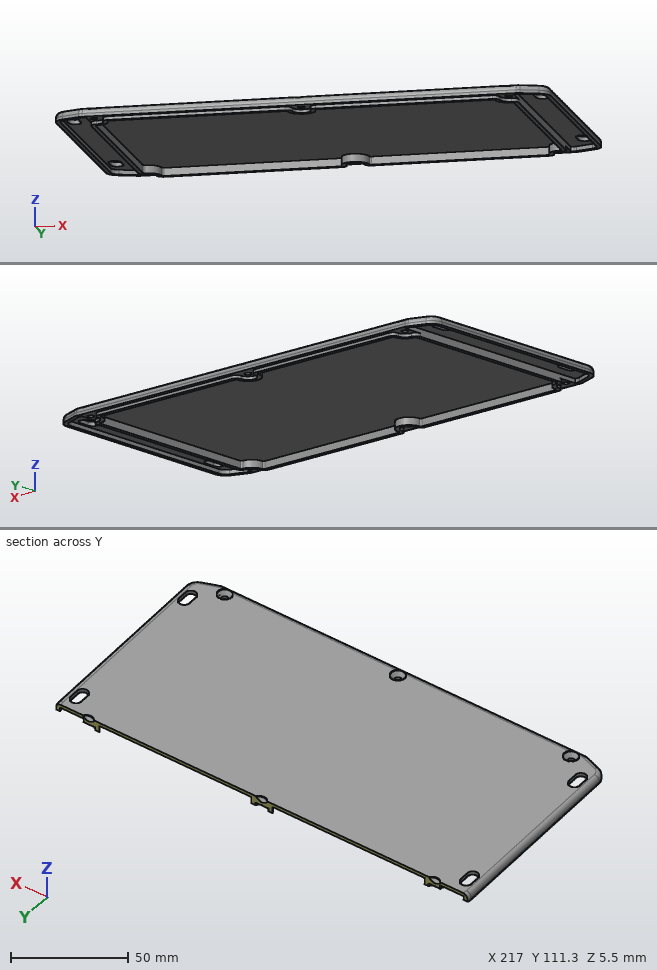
import cadquery as cq
import math

LENGTH = 217.0
WIDTH = 111.25
LIP_DROP = 1.5
RIM_HEIGHT = 4.0
TOTAL_HEIGHT = LIP_DROP + RIM_HEIGHT

SKIN_THICKNESS = 2.0
WALL_THICKNESS = 2.0
CAVITY_TOP = TOTAL_HEIGHT - SKIN_THICKNESS

LONG_EDGE_END_X = 96.0
SLANT_ANGLE = 20.0
END_BLEND_RADIUS = 6.0
LONG_EDGE_BLEND_RADIUS = 5.0
TOP_EDGE_RADIUS = 2.5

LIP_HALF_WIDTH = WIDTH / 2 - WALL_THICKNESS
FLARE_RADIUS = 2.75
NOTCH_RADIUS = 4.0
NOTCH_REACH = NOTCH_RADIUS + FLARE_RADIUS

SCREW_X = 91.0
SCREW_Y = LIP_HALF_WIDTH - FLARE_RADIUS
SCREW_HOLE_DIAMETER = 3.0
COUNTERSINK_DIAMETER = 7.0
COUNTERSINK_ANGLE = 90.0
HEAD_RECESS_DEPTH = 0.5

LIP_HALF_LENGTH = SCREW_X + FLARE_RADIUS

SLOT_X = 102.5
SLOT_Y = 39.65
SLOT_LENGTH = 10.25
SLOT_WIDTH = 5.5


def plate_prism(inset, bottom, top):
    """Extrude the plate outline, moved inwards by the inset, between two heights."""
    half_length = LENGTH / 2
    half_width = WIDTH / 2
    slant_drop = (half_length - LONG_EDGE_END_X) * math.tan(math.radians(SLANT_ANGLE))
    end_edge_y = half_width - slant_drop
    outline = [
        (LONG_EDGE_END_X, half_width),
        (half_length, end_edge_y),
        (half_length, -end_edge_y),
        (LONG_EDGE_END_X, -half_width),
        (-LONG_EDGE_END_X, -half_width),
        (-half_length, -end_edge_y),
        (-half_length, end_edge_y),
        (-LONG_EDGE_END_X, half_width),
    ]
    blank = cq.Workplane("XY").polyline(outline).close().extrude(top - bottom)
    blank = blank.edges("|Z").edges("<X or >X").fillet(END_BLEND_RADIUS)
    blank = blank.edges("|Z").edges("<Y or >Y").fillet(LONG_EDGE_BLEND_RADIUS)
    return extrude_inset(blank, inset, bottom, top)


def extrude_inset(prism, inset, bottom, top):
    """Extrude the outline of a prism standing on Z = 0, inset, between two heights."""
    outline = prism.faces("<Z").wires().val()
    if inset > 0:
        outline = outline.offset2D(-inset)[0]
    height = cq.Vector(0, 0, top - bottom)
    solid = cq.Solid.extrudeLinear(outline, [], height)
    return cq.Workplane("XY").add(solid.translate(cq.Vector(0, 0, bottom)))


def make_plate():
    """Build the full-thickness plate with its rounded top edge."""
    plate = plate_prism(0, LIP_DROP, TOTAL_HEIGHT)
    return plate.faces(">Z").edges().fillet(TOP_EDGE_RADIUS)


def arc_points(center, radius, start_degrees, end_degrees):
    """Return the middle and end points of an arc."""
    points = []
    for degrees in ((start_degrees + end_degrees) / 2, end_degrees):
        angle = math.radians(degrees)
        points.append((center[0] + radius * math.cos(angle), center[1] + radius * math.sin(angle)))
    return points


def make_lip_block():
    """Build the block inside the lip outline: one quarter mirrored about both centre planes."""
    quarter = (
        cq.Workplane("XY")
        .lineTo(LIP_HALF_LENGTH, 0)
        .lineTo(LIP_HALF_LENGTH, SCREW_Y - NOTCH_REACH)
        .threePointArc(*arc_points((SCREW_X, SCREW_Y - NOTCH_REACH), FLARE_RADIUS, 0, 90))
        .threePointArc(*arc_points((SCREW_X, SCREW_Y), NOTCH_RADIUS, 270, 180))
        .threePointArc(*arc_points((SCREW_X - NOTCH_REACH, SCREW_Y), FLARE_RADIUS, 0, 90))
        .lineTo(NOTCH_REACH, LIP_HALF_WIDTH)
        .threePointArc(*arc_points((NOTCH_REACH, SCREW_Y), FLARE_RADIUS, 90, 180))
        .threePointArc(*arc_points((0, SCREW_Y), NOTCH_RADIUS, 360, 270))
        .close()
        .extrude(LIP_DROP)
    )
    half = quarter.union(quarter.mirror("YZ"))
    return half.union(half.mirror("XZ")).clean()


def hollow_underside(body, lip_block):
    """Clear the inside of the lip and the two end bays between the lip and the rim."""
    main_cavity = extrude_inset(lip_block, WALL_THICKNESS, 0, CAVITY_TOP)
    middle = cq.Workplane("XY").box(2 * LIP_HALF_LENGTH, WIDTH, TOTAL_HEIGHT, centered=(True, True, False))
    end_bays = plate_prism(WALL_THICKNESS, 0, CAVITY_TOP).cut(middle)
    return body.cut(main_cavity).cut(end_bays)


def cut_screw_holes(body):
    """Sink the six screws: a shallow head recess, then a countersink and a through hole."""
    cone_width = (COUNTERSINK_DIAMETER - SCREW_HOLE_DIAMETER) / 2
    cone_height = cone_width / math.tan(math.radians(COUNTERSINK_ANGLE / 2))
    recess_floor = TOTAL_HEIGHT - HEAD_RECESS_DEPTH
    cone_bottom = recess_floor - cone_height
    cutter = (
        cq.Workplane("XZ")
        .lineTo(SCREW_HOLE_DIAMETER / 2, 0)
        .lineTo(SCREW_HOLE_DIAMETER / 2, cone_bottom)
        .lineTo(COUNTERSINK_DIAMETER / 2, recess_floor)
        .lineTo(COUNTERSINK_DIAMETER / 2, TOTAL_HEIGHT)
        .lineTo(0, TOTAL_HEIGHT)
        .close()
        .revolve(360, (0, 0), (0, 1))
    )
    for x in (-SCREW_X, 0, SCREW_X):
        for y in (-SCREW_Y, SCREW_Y):
            body = body.cut(cutter.translate((x, y, 0)))
    return body


def cut_mounting_slots(body):
    """Cut the four mounting slots, long in Y, through the plate."""
    slots = (
        cq.Workplane("XY")
        .rect(2 * SLOT_X, 2 * SLOT_Y, forConstruction=True)
        .vertices()
        .slot2D(SLOT_LENGTH, SLOT_WIDTH, 90)
        .extrude(TOTAL_HEIGHT)
    )
    return body.cut(slots)


lip_block = make_lip_block()
result = make_plate().union(lip_block)
result = hollow_underside(result, lip_block)
result = cut_screw_holes(result)
result = cut_mounting_slots(result)